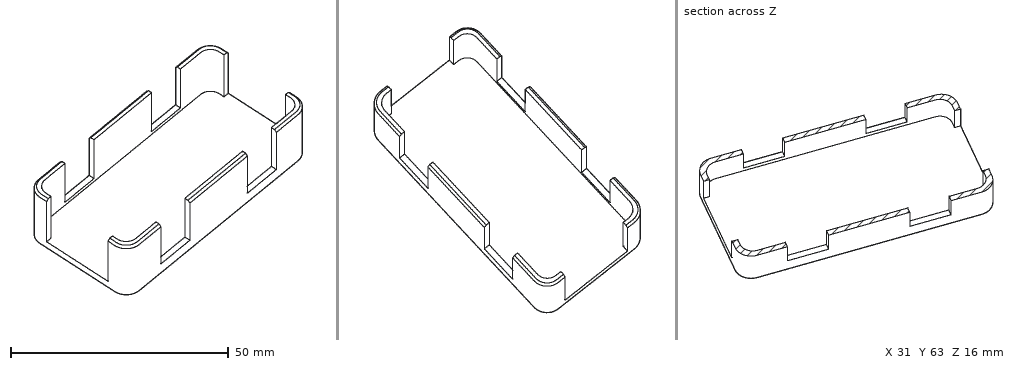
import cadquery as cq

length = 63.0
width = 31.0
height = 16.0
wall = 1.5
floor = 2.0
corner_radius = 4.0
cavity_corner_radius = 3.0
rim_chamfer = 0.55

end_opening_width = 18.9
side_notch_width = 10.0
side_notch_spacing = 30.0
side_notch_sill = 3.0


def rounded_block(size_x, size_y, size_z, radius):
    """Upright block with rounded vertical corners, standing on Z = 0."""
    block = cq.Workplane("XY").box(size_x, size_y, size_z, centered=(True, True, False))
    return block.edges("|Z").fillet(radius)


def through_cut(size_x, size_y, sill, center_y=0):
    """Block that removes everything above the sill height."""
    cutter = cq.Workplane("XY").box(size_x, size_y, height, centered=(True, True, False))
    return cutter.translate((0, center_y, sill))


body = rounded_block(width, length, height, corner_radius)
body = body.faces(">Z").edges().chamfer(rim_chamfer)
cavity = rounded_block(width - 2 * wall, length - 2 * wall, height, cavity_corner_radius)
result = body.cut(cavity.translate((0, 0, floor)))

result = result.cut(through_cut(end_opening_width, 2 * length, floor))

for side in (-1, 1):
    notch_y = side * side_notch_spacing / 2
    result = result.cut(through_cut(2 * width, side_notch_width, side_notch_sill, notch_y))